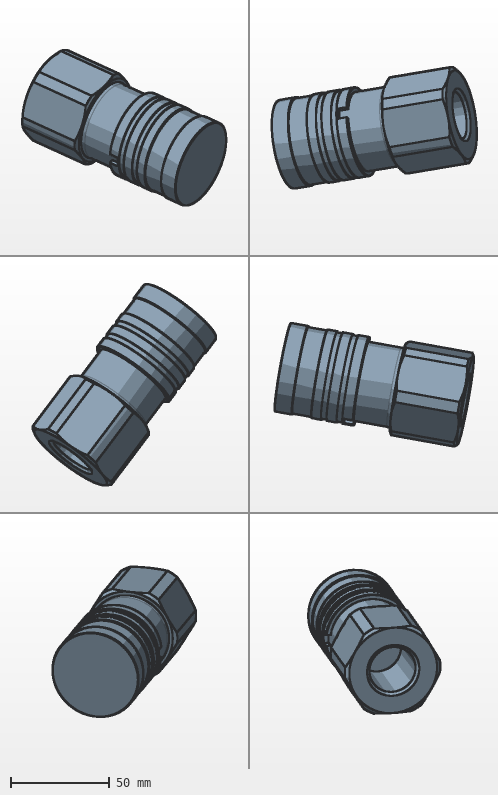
import cadquery as cq
import math

total_length = 94.8

hex_length = 35.0
hex_across_flats = 46.0
hex_across_corners = 50.0
hex_corner_radius = hex_across_corners / 2
hex_end_radius = 22.9
hex_chamfer_length = 1.2

bore_radius = 12.0
bore_mouth_radius = 13.65
bore_chamfer_length = bore_mouth_radius - bore_radius
bore_depth = hex_length

neck_radius = 20.6
neck_root_radius = 20.95
neck_root_length = 2.0

band_radius = hex_across_flats / 2
barrel_radius = 22.5
edge_chamfer = 0.3
sleeve_start = 53.9
collar_end = 59.6
first_rib_start = 62.6
first_rib_end = 67.8
second_rib_start = 70.7
second_rib_end = 75.8
end_band_start = 85.6

notch_width = 5.8
notch_length = 4.8


def revolve_about_x(points):
    """Solid of revolution about the X axis from (x, radius) points."""
    return cq.Workplane("XY").polyline(points).close().revolve(360, (0, 0, 0), (1, 0, 0))


def cylinder(start, end, radius):
    return cq.Workplane("YZ", origin=(start, 0, 0)).circle(radius).extrude(end - start)


def make_hexagon():
    corner_diameter = hex_across_flats / math.cos(math.radians(30))
    prism = cq.Workplane("YZ").polygon(6, corner_diameter).extrude(hex_length)
    turned_blank = revolve_about_x([
        (0, 0),
        (0, hex_end_radius),
        (hex_chamfer_length, hex_corner_radius),
        (hex_length - hex_chamfer_length, hex_corner_radius),
        (hex_length, hex_end_radius),
        (hex_length, 0),
    ])
    return prism.intersect(turned_blank)


def make_neck():
    return revolve_about_x([
        (hex_length, 0),
        (hex_length, neck_root_radius),
        (hex_length + neck_root_length, neck_radius),
        (sleeve_start + notch_length, neck_radius),
        (sleeve_start + notch_length, 0),
    ])


def make_collar():
    collar = cylinder(sleeve_start, collar_end, band_radius)
    collar = collar.faces("<X").edges().chamfer(edge_chamfer)
    notch = cq.Workplane("XY").box(
        notch_length, 2 * band_radius, notch_width, centered=(False, True, True)
    ).translate((sleeve_start, 0, 0))
    return collar.cut(notch)


def make_sleeve():
    barrel = cylinder(collar_end, total_length, barrel_radius)
    first_rib = cylinder(first_rib_start, first_rib_end, band_radius)
    second_rib = cylinder(second_rib_start, second_rib_end, band_radius)
    second_rib = second_rib.faces(">X").edges().chamfer(edge_chamfer)
    end_band = cylinder(end_band_start, total_length, band_radius)
    end_band = end_band.faces("<X or >X").edges().chamfer(edge_chamfer)
    return barrel.union(first_rib).union(second_rib).union(end_band)


def make_bore():
    return revolve_about_x([
        (0, 0),
        (0, bore_mouth_radius),
        (bore_chamfer_length, bore_radius),
        (bore_depth, bore_radius),
        (bore_depth, 0),
    ])


body = make_hexagon().union(make_neck()).union(make_collar()).union(make_sleeve())
result = body.cut(make_bore())